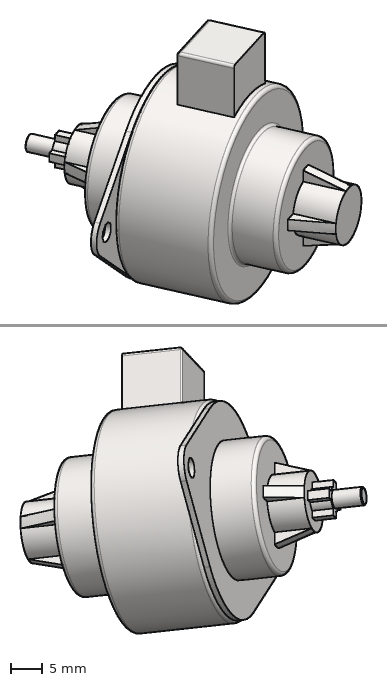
import cadquery as cq
import math

PINION_START = 4.95
FRONT_BOSS_START = 8.45
FRONT_HUB_START = 14.7
FLANGE_START = 22.2
BODY_START = 23.2
BODY_END = 40.2
REAR_HUB_END = 48.55
MOTOR_LENGTH = 56.05

SHAFT_RADIUS = 1.5
SHAFT_CHAMFER = 0.15
BOSS_RADIUS = 5.0
HUB_RADIUS = 11.25
BODY_RADIUS = 18.0
RIM_FILLET = 0.7
REAR_HUB_ROOT_FILLET = 0.5

PINION_CORE_RADIUS = 2.0
PINION_SPAN = 6.0
PINION_ARM_WIDTH = 1.55

RIB_COUNT = 4
RIB_WIDTH = 2.0
RIB_ROOT_RADIUS = 7.0

FLANGE_DISC_RADIUS = 17.6
EAR_OFFSET = 21.0
EAR_RADIUS = 4.0
MOUNT_HOLE_DIAMETER = 3.2

CONNECTOR_START = 28.65
CONNECTOR_LENGTH = 10.05
CONNECTOR_WIDTH = 12.0
CONNECTOR_TOP = 26.5
CONNECTOR_TOP_FILLET = 0.5
CONNECTOR_UPRIGHT_FILLET = 0.2


def section(x):
    """Workplane across the motor axis at station x, local axes along Y and Z."""
    return cq.Workplane("YZ", origin=(x, 0, 0))


def cylinder(start, end, radius):
    return section(start).circle(radius).extrude(end - start)


def make_shaft():
    shaft = cylinder(0, FLANGE_START, SHAFT_RADIUS)
    return shaft.faces("<X").chamfer(SHAFT_CHAMFER)


def make_pinion():
    length = FRONT_BOSS_START - PINION_START
    pinion = cylinder(PINION_START, FRONT_BOSS_START, PINION_CORE_RADIUS)
    plane = section(PINION_START)
    for arm_size in ((PINION_SPAN, PINION_ARM_WIDTH), (PINION_ARM_WIDTH, PINION_SPAN)):
        pinion = pinion.union(plane.rect(*arm_size).extrude(length))
    return pinion


def make_ribbed_boss(tip_x, hub_x):
    """Boss from its free end to the hub face, with ribs that widen conically toward the hub."""
    boss = cylinder(tip_x, hub_x, BOSS_RADIUS)
    cone = (
        cq.Workplane("XY")
        .polyline([(tip_x, 0), (tip_x, BOSS_RADIUS), (hub_x, RIB_ROOT_RADIUS), (hub_x, 0)])
        .close()
        .revolve(360, (0, 0, 0), (1, 0, 0))
    )
    for index in range(RIB_COUNT):
        rib_slab = (
            section(tip_x)
            .center(0, RIB_ROOT_RADIUS / 2)
            .rect(RIB_WIDTH, RIB_ROOT_RADIUS)
            .extrude(hub_x - tip_x)
            .rotate((0, 0, 0), (1, 0, 0), index * 360 / RIB_COUNT)
        )
        boss = boss.union(cone.intersect(rib_slab))
    return boss


def make_housing():
    """Front hub, body and rear hub with rounded rims."""
    front_hub = cylinder(FRONT_HUB_START, BODY_START, HUB_RADIUS).faces("<X").edges().fillet(RIM_FILLET)
    body = cylinder(BODY_START, BODY_END, BODY_RADIUS).edges("%CIRCLE").fillet(RIM_FILLET)
    rear_hub = cylinder(BODY_END, REAR_HUB_END, HUB_RADIUS).faces(">X").edges().fillet(RIM_FILLET)
    housing = body.union(rear_hub)
    reach = (HUB_RADIUS + BODY_RADIUS) / 2
    root_edge = cq.selectors.BoxSelector(
        (BODY_END - RIM_FILLET / 2, -reach, -reach),
        (BODY_END + RIM_FILLET / 2, reach, reach),
        boundingbox=True,
    )
    return housing.edges(root_edge).fillet(REAR_HUB_ROOT_FILLET).union(front_hub)


def make_flange():
    """Disc joined to two rounded ears by straight edges tangent to both."""
    tangent_cos = (FLANGE_DISC_RADIUS - EAR_RADIUS) / EAR_OFFSET
    tangent_sin = math.sqrt(1 - tangent_cos**2)
    disc_y = FLANGE_DISC_RADIUS * tangent_cos
    disc_z = FLANGE_DISC_RADIUS * tangent_sin
    ear_y = EAR_OFFSET + EAR_RADIUS * tangent_cos
    ear_z = EAR_RADIUS * tangent_sin
    ear_tip = EAR_OFFSET + EAR_RADIUS
    return (
        section(FLANGE_START)
        .moveTo(-disc_y, disc_z)
        .threePointArc((0, FLANGE_DISC_RADIUS), (disc_y, disc_z))
        .lineTo(ear_y, ear_z)
        .threePointArc((ear_tip, 0), (ear_y, -ear_z))
        .lineTo(disc_y, -disc_z)
        .threePointArc((0, -FLANGE_DISC_RADIUS), (-disc_y, -disc_z))
        .lineTo(-ear_y, -ear_z)
        .threePointArc((-ear_tip, 0), (-ear_y, ear_z))
        .close()
        .pushPoints([(-EAR_OFFSET, 0), (EAR_OFFSET, 0)])
        .circle(MOUNT_HOLE_DIAMETER / 2)
        .extrude(BODY_START - FLANGE_START)
    )


def make_connector():
    """Block rising from inside the body, rounded except at its square rear (+X) face."""
    return (
        cq.Workplane("XY")
        .box(CONNECTOR_LENGTH, CONNECTOR_WIDTH, CONNECTOR_TOP, centered=(False, True, False))
        .translate((CONNECTOR_START, 0, 0))
        .edges("|Z and <X")
        .fillet(CONNECTOR_UPRIGHT_FILLET)
        .faces(">Z")
        .edges("not >X")
        .fillet(CONNECTOR_TOP_FILLET)
    )


result = (
    make_housing()
    .union(make_flange())
    .union(make_connector())
    .union(make_ribbed_boss(FRONT_BOSS_START, FRONT_HUB_START))
    .union(make_ribbed_boss(MOTOR_LENGTH, REAR_HUB_END))
    .union(make_pinion())
    .union(make_shaft())
)